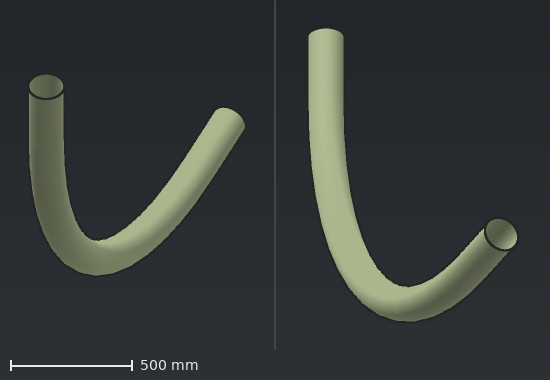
import cadquery as cq

OUTER_DIAMETER = 152.4
INNER_DIAMETER = 146.3
BEND_RADIUS = 1524.0
TAIL_LENGTH = 304.8
BEND_ANGLE = 90.0


def pipe_section(plane):
    """Annular pipe cross-section centred on the given plane's origin."""
    outer_radius = OUTER_DIAMETER / 2
    inner_radius = INNER_DIAMETER / 2
    return cq.Workplane(plane).circle(outer_radius).circle(inner_radius)


def vertical_tail():
    """Straight length rising from the upper end of the bend."""
    return pipe_section(cq.Plane.XY()).extrude(TAIL_LENGTH)


def bend():
    """Quarter turn about an X-parallel axis through the centre of curvature."""
    axis_start = (0, BEND_RADIUS)
    axis_end = (1, BEND_RADIUS)
    return pipe_section(cq.Plane.XY()).revolve(BEND_ANGLE, axis_start, axis_end)


def horizontal_tail():
    """Straight length running in +Y from the lower end of the bend."""
    lower_end = cq.Plane(
        origin=(0, BEND_RADIUS, -BEND_RADIUS), xDir=(1, 0, 0), normal=(0, 1, 0)
    )
    return pipe_section(lower_end).extrude(TAIL_LENGTH)


result = bend().union(vertical_tail()).union(horizontal_tail())